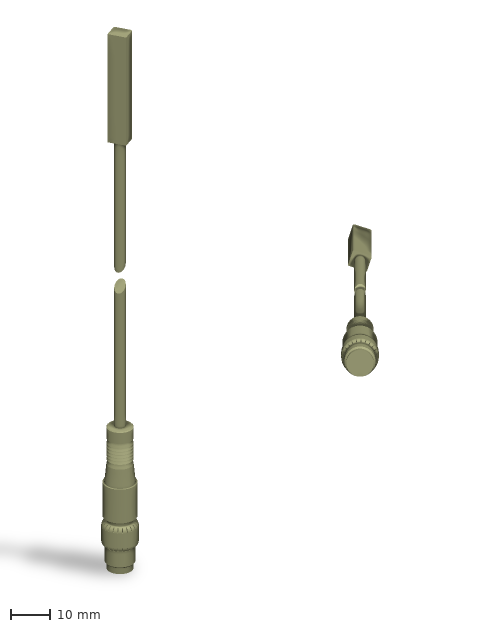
import cadquery as cq

TOTAL_HEIGHT = 155.4

CABLE_DIAMETER = 3.0
UPPER_CUT_Z = 87.8
LOWER_CUT_Z = 81.7

HEAD_WIDTH = 5.1
HEAD_DEPTH = 4.4
HEAD_LENGTH = 31.4
HEAD_CORNER_RADIUS = 0.5

COLLAR_DIAMETER = 7.0
BOOT_CORE_DIAMETER = 5.9
BOOT_TOP_Z = 41.2
COLLAR_HEIGHT = 3.4
COLLAR_CHAMFER = 0.23
RIB_COUNT = 6
RIB_PITCH = 1.0
TOP_RIB_Z = 36.4
TAPER_TOP_Z = 30.3
TAPER_BOTTOM_DIAMETER = 8.1
GRIP_TOP_Z = 25.0
GRIP_DIAMETER = 9.0
GRIP_BOTTOM_Z = 15.2

NECK_TOP_DIAMETER = 5.7
SLEEVE_DIAMETER = 8.0
SLEEVE_BOTTOM_Z = 1.7
SLEEVE_CHAMFER = 0.5
TIP_DIAMETER = 7.0

NUT_DIAMETER = 9.6
NUT_TOP_Z = 13.8
NUT_BOTTOM_Z = 6.7
NUT_END_DIAMETER = 6.8
KNURL_LENGTH = 1.4
KNURL_ROOT_DIAMETER = 8.1
KNURL_COUNT = 24
KNURL_WIDTH = 0.23


def cylinder(diameter, bottom, top):
    return cq.Workplane("XY").workplane(offset=bottom).circle(diameter / 2).extrude(top - bottom)


def cone(bottom_diameter, top_diameter, bottom, top):
    return cq.Workplane("XY").add(
        cq.Solid.makeCone(bottom_diameter / 2, top_diameter / 2, top - bottom, cq.Vector(0, 0, bottom))
    )


def cable(bottom, top, cut_z, keep_above):
    """Cable length between two heights, trimmed by the plane z = cut_z + y."""
    radius = CABLE_DIAMETER / 2
    end_z = top if keep_above else bottom
    side_profile = [
        (-radius, cut_z - radius),
        (radius, cut_z + radius),
        (radius, end_z),
        (-radius, end_z),
    ]
    trim = cq.Workplane("YZ").polyline(side_profile).close().extrude(CABLE_DIAMETER, both=True)
    low, high = (cut_z - radius, top) if keep_above else (bottom, cut_z + radius)
    return cylinder(CABLE_DIAMETER, low, high).intersect(trim)


def make_sensor():
    """Rectangular head, rounded along its rear edges, with its length of cable."""
    head_bottom = TOTAL_HEIGHT - HEAD_LENGTH
    head = (
        cq.Workplane("XY")
        .workplane(offset=head_bottom)
        .rect(HEAD_WIDTH, HEAD_DEPTH)
        .extrude(HEAD_LENGTH)
        .edges("|Z and >Y")
        .fillet(HEAD_CORNER_RADIUS)
    )
    return head.union(cable(UPPER_CUT_Z, head_bottom, UPPER_CUT_Z, True))


def make_boot():
    """Strain relief with saw-tooth ribs, running down into the tapered grip."""
    collar_bottom = BOOT_TOP_Z - COLLAR_HEIGHT
    collar = cylinder(COLLAR_DIAMETER, collar_bottom, BOOT_TOP_Z)
    boot = collar.faces(">Z").edges().chamfer(COLLAR_CHAMFER)

    rib_edges = [TOP_RIB_Z - index * RIB_PITCH for index in range(RIB_COUNT)]
    tooth_ends = [collar_bottom] + rib_edges + [TAPER_TOP_Z]
    for top, bottom in zip(tooth_ends, tooth_ends[1:]):
        boot = boot.union(cone(COLLAR_DIAMETER, BOOT_CORE_DIAMETER, bottom, top))

    boot = boot.union(cone(TAPER_BOTTOM_DIAMETER, COLLAR_DIAMETER, GRIP_TOP_Z, TAPER_TOP_Z))
    return boot.union(cylinder(GRIP_DIAMETER, GRIP_BOTTOM_Z, GRIP_TOP_Z))


def knurl_notches(bottom):
    """Ring of radial notches as tall as one knurl band."""
    root_radius = KNURL_ROOT_DIAMETER / 2
    notch_depth = NUT_DIAMETER / 2 - root_radius
    return (
        cq.Workplane("XY")
        .workplane(offset=bottom)
        .polarArray(root_radius + notch_depth / 2, 0, 360, KNURL_COUNT)
        .rect(notch_depth, KNURL_WIDTH)
        .extrude(KNURL_LENGTH)
    )


def make_nut_shape():
    """Nut with rounded ends, notched by a knurl band at each end."""
    end_round = (NUT_DIAMETER - NUT_END_DIAMETER) / 2
    nut = cylinder(NUT_DIAMETER, NUT_BOTTOM_Z, NUT_TOP_Z)
    nut = nut.faces("<Z or >Z").edges().fillet(end_round)
    return nut.cut(knurl_notches(NUT_TOP_Z - KNURL_LENGTH)).cut(knurl_notches(NUT_BOTTOM_Z))


def make_connector():
    """Plug with its length of cable, boot, nut and threaded end."""
    chamfer_top = SLEEVE_BOTTOM_Z + SLEEVE_CHAMFER
    chamfer_diameter = SLEEVE_DIAMETER - 2 * SLEEVE_CHAMFER
    return (
        make_boot()
        .union(cable(BOOT_TOP_Z, LOWER_CUT_Z, LOWER_CUT_Z, False))
        .union(cone(NUT_END_DIAMETER, NECK_TOP_DIAMETER, NUT_TOP_Z, GRIP_BOTTOM_Z))
        .union(make_nut_shape())
        .union(cylinder(SLEEVE_DIAMETER, chamfer_top, NUT_BOTTOM_Z))
        .union(cone(chamfer_diameter, SLEEVE_DIAMETER, SLEEVE_BOTTOM_Z, chamfer_top))
        .union(cylinder(TIP_DIAMETER, 0, SLEEVE_BOTTOM_Z))
    )


sensor = make_sensor()
connector = make_connector()

result = cq.Compound.makeCompound([sensor.val(), connector.val()])